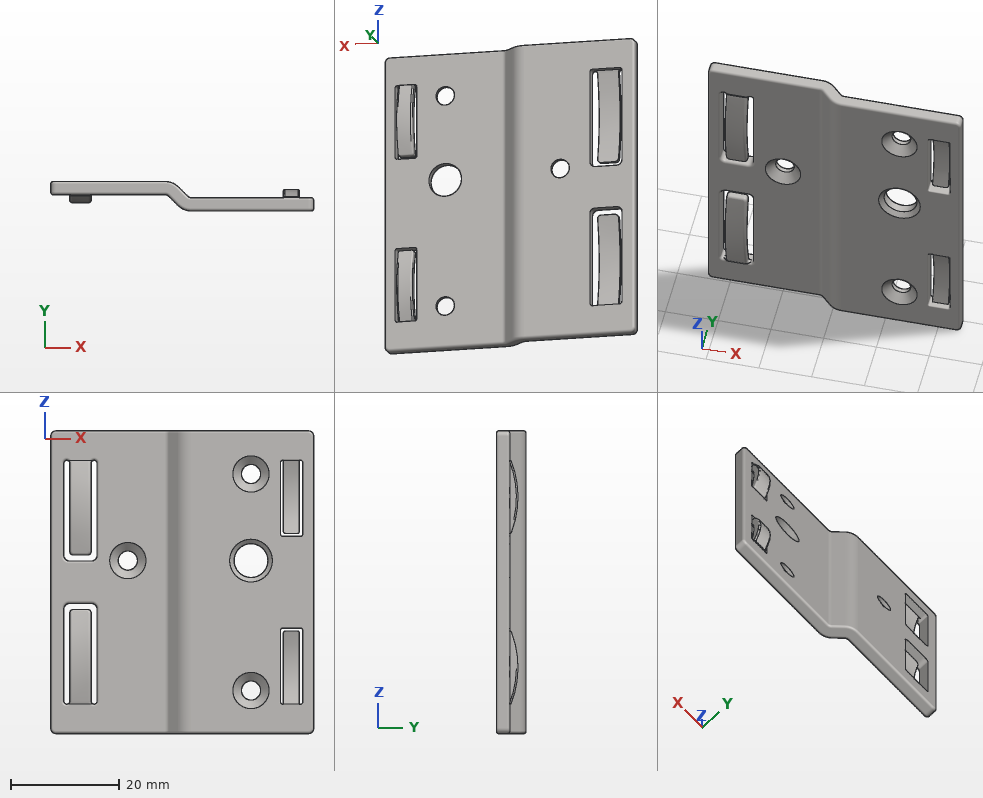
import cadquery as cq
import math

WIDTH = 48.61
HEIGHT = 55.98
THICKNESS = 2.5
STEP = 3.0
BEND_START_X = -3.17
BEND_ANGLE = math.radians(45)
BEND_INNER_R = 1.0
CORNER_R = 1.0
EDGE_R = 0.5
LEFT_FRONT_Y = STEP
RIGHT_FRONT_Y = 0.0

SCREW_D = 3.5
SCREW_HEAD_D = 6.7
LEFT_SCREW = (-10.05, 4.0)
RIGHT_HOLE_X = 12.7
RIGHT_SCREW_Z = 20.0
PIVOT_Z = 4.0
PIVOT_D = 6.2
PIVOT_HEAD_D = 7.9

ROOT_Z = 22.5
ROOT_STEP = 0.2
BULGE = 1.5

LEFT_TONGUE_X = -18.8
LEFT_TONGUE_W = 4.0
LEFT_TONGUE_T = 1.3
LEFT_TIP_Z = 5.0
LEFT_GAP = 1.05
LEFT_TIP_CORNER_R = 0.7
LEFT_WINDOW_R = 1.0
LEFT_EDGE_R = 0.5

RIGHT_TONGUE_X = 20.15
RIGHT_TONGUE_W = 3.0
RIGHT_TONGUE_T = 1.5
RIGHT_TIP_Z = 9.0
RIGHT_GAP = 0.5
RIGHT_WINDOW_X = 20.2
RIGHT_WINDOW_W = 4.1
RIGHT_TONGUE_EDGE_R = 0.3
RIGHT_CORNER_R = 0.4
RIGHT_EDGE_R = 0.2

EDGE_MARGIN = 0.1


def make_plate():
    """Joggled plate with rounded corners and edges."""
    outer_r = BEND_INNER_R + THICKNESS
    sin_a, cos_a = math.sin(BEND_ANGLE), math.cos(BEND_ANGLE)
    sin_h, cos_h = math.sin(BEND_ANGLE / 2), math.cos(BEND_ANGLE / 2)
    bends_drop = (BEND_INNER_R + outer_r) * (1 - cos_a)
    slope_run = (STEP - bends_drop) / math.tan(BEND_ANGLE)
    bend_end_x = BEND_START_X + (BEND_INNER_R + outer_r) * sin_a + slope_run
    left_x, right_x = -WIDTH / 2, WIDTH / 2
    left_back_y = LEFT_FRONT_Y + THICKNESS
    right_back_y = RIGHT_FRONT_Y + THICKNESS
    upper_y = LEFT_FRONT_Y - BEND_INNER_R
    lower_y = right_back_y + BEND_INNER_R

    def left_bend(radius, sin_t, cos_t):
        return (BEND_START_X + radius * sin_t, upper_y + radius * cos_t)

    def right_bend(radius, sin_t, cos_t):
        return (bend_end_x - radius * sin_t, lower_y - radius * cos_t)

    plate = (
        cq.Workplane("XY", origin=(0, 0, -HEIGHT / 2))
        .moveTo(left_x, LEFT_FRONT_Y)
        .lineTo(BEND_START_X, LEFT_FRONT_Y)
        .threePointArc(left_bend(BEND_INNER_R, sin_h, cos_h), left_bend(BEND_INNER_R, sin_a, cos_a))
        .lineTo(*right_bend(outer_r, sin_a, cos_a))
        .threePointArc(right_bend(outer_r, sin_h, cos_h), (bend_end_x, RIGHT_FRONT_Y))
        .lineTo(right_x, RIGHT_FRONT_Y)
        .lineTo(right_x, right_back_y)
        .lineTo(bend_end_x, right_back_y)
        .threePointArc(right_bend(BEND_INNER_R, sin_h, cos_h), right_bend(BEND_INNER_R, sin_a, cos_a))
        .lineTo(*left_bend(outer_r, sin_a, cos_a))
        .threePointArc(left_bend(outer_r, sin_h, cos_h), (BEND_START_X, left_back_y))
        .lineTo(left_x, left_back_y)
        .close()
        .extrude(HEIGHT)
    )
    plate = plate.edges("|Y").fillet(CORNER_R)
    front_left = cq.selectors.NearestToPointSelector((left_x, LEFT_FRONT_Y, 0))
    back_left = cq.selectors.NearestToPointSelector((left_x, left_back_y, 0))
    plate = plate.edges(front_left).fillet(EDGE_R)
    return plate.edges(back_left).fillet(EDGE_R)


def countersunk_hole(x, z, front_y, hole_d, head_d):
    """Through-hole cutter with a 90 degree countersink at the front face."""
    sink_depth = (head_d - hole_d) / 2
    return (
        cq.Workplane("XY", origin=(x, front_y, z))
        .lineTo(head_d / 2, 0)
        .lineTo(hole_d / 2, sink_depth)
        .lineTo(hole_d / 2, THICKNESS)
        .lineTo(0, THICKNESS)
        .close()
        .revolve(360, (0, 0, 0), (0, 1, 0))
    )


def block(x, width, z_low, z_high, y_low, y_high):
    """Box centred on x."""
    size = (width, y_high - y_low, z_high - z_low)
    return cq.Workplane("XY", origin=(x, y_low, z_low)).box(*size, centered=(True, False, False))


def arched_tongue(x, width, thickness, tip_z, face_y, outward):
    """Strip from ROOT_Z to tip_z arching out of the face at face_y; outward is its Y sign."""
    mid_z = (ROOT_Z + tip_z) / 2
    end_y = face_y + outward * ROOT_STEP
    peak_y = face_y + outward * BULGE
    depth = outward * thickness
    return (
        cq.Workplane("YZ", origin=(x, 0, 0))
        .moveTo(end_y, ROOT_Z)
        .threePointArc((peak_y, mid_z), (end_y, tip_z))
        .lineTo(end_y - depth, tip_z)
        .threePointArc((peak_y - depth, mid_z), (end_y - depth, ROOT_Z))
        .close()
        .extrude(width / 2, both=True)
    )


def left_slot():
    """U-shaped cutter around the upper left tongue, tall enough to clear its arch."""
    y_low = LEFT_FRONT_Y - 2 * BULGE
    y_high = LEFT_FRONT_Y + THICKNESS
    end_r = LEFT_GAP / 2
    arm_top = ROOT_Z - end_r
    window_w = LEFT_TONGUE_W + 2 * LEFT_GAP
    slot = block(LEFT_TONGUE_X, window_w, LEFT_TIP_Z - LEFT_GAP, arm_top, y_low, y_high)
    slot = slot.faces("<Z").edges("|Y").fillet(LEFT_WINDOW_R)
    tongue_area = block(LEFT_TONGUE_X, LEFT_TONGUE_W, LEFT_TIP_Z, arm_top, y_low, y_high)
    slot = slot.cut(tongue_area.faces("<Z").edges("|Y").fillet(LEFT_TIP_CORNER_R))
    for side in (-1, 1):
        arm_x = LEFT_TONGUE_X + side * (LEFT_TONGUE_W + LEFT_GAP) / 2
        arm_end = cq.Workplane("XZ", origin=(arm_x, y_high, arm_top)).circle(end_r)
        slot = slot.union(arm_end.extrude(y_high - y_low))
    return slot


def left_tongue():
    """Upper left tongue, arching forward, with its front edges rounded."""
    strip_w = LEFT_TONGUE_W + LEFT_GAP
    strip = arched_tongue(LEFT_TONGUE_X, strip_w, LEFT_TONGUE_T, LEFT_TIP_Z, LEFT_FRONT_Y, -1)
    tongue = strip.cut(left_slot())
    front_edges = [
        edge for edge in tongue.edges().vals()
        if edge.Center().y < LEFT_FRONT_Y + EDGE_MARGIN and edge.Center().z < ROOT_Z - EDGE_MARGIN
    ]
    return tongue.newObject(front_edges).fillet(LEFT_EDGE_R)


def right_window():
    """Rectangular cutter around the upper right tongue."""
    low_z = RIGHT_TIP_Z - RIGHT_GAP
    back_y = RIGHT_FRONT_Y + THICKNESS
    window = block(RIGHT_WINDOW_X, RIGHT_WINDOW_W, low_z, ROOT_Z, RIGHT_FRONT_Y, back_y)
    return window.edges("|Y").fillet(RIGHT_CORNER_R)


def right_tongue():
    """Upper right tongue, arching backward, with its back edges rounded."""
    back_y = RIGHT_FRONT_Y + THICKNESS
    tongue = arched_tongue(RIGHT_TONGUE_X, RIGHT_TONGUE_W, RIGHT_TONGUE_T, RIGHT_TIP_Z, back_y, 1)
    tongue = tongue.faces("<Z").edges("|Y").fillet(RIGHT_CORNER_R)
    back_edges = [
        edge for edge in tongue.edges().vals()
        if edge.Center().y > back_y and edge.Center().z < ROOT_Z - EDGE_MARGIN
    ]
    return tongue.newObject(back_edges).fillet(RIGHT_TONGUE_EDGE_R)


def above_and_below(body):
    """The body and its mirror image in the middle plane Z = 0."""
    return (body, body.mirror("XY"))


def rim_selector(x, half_width, tip_z, front_y):
    """Selects the front edges of the window openings, above and below the middle."""
    boxes = [
        cq.selectors.BoxSelector(
            (x - half_width - EDGE_MARGIN, front_y - EDGE_MARGIN, side * tip_z),
            (x + half_width + EDGE_MARGIN, front_y + EDGE_MARGIN, side * (ROOT_Z + EDGE_MARGIN)),
        )
        for side in (-1, 1)
    ]
    return boxes[0] + boxes[1]


def add_left_tongues(plate):
    """Slots with rounded rims in the left flat, each strip replaced by an arched tongue."""
    for slot in above_and_below(left_slot()):
        plate = plate.cut(slot)
    half_width = LEFT_TONGUE_W / 2 + LEFT_GAP
    low_z = LEFT_TIP_Z - LEFT_GAP - EDGE_MARGIN
    rim = rim_selector(LEFT_TONGUE_X, half_width, low_z, LEFT_FRONT_Y)
    plate = plate.edges(rim).fillet(LEFT_EDGE_R)
    strip_w = LEFT_TONGUE_W + LEFT_GAP
    back_y = LEFT_FRONT_Y + THICKNESS
    flat_strip = block(LEFT_TONGUE_X, strip_w, LEFT_TIP_Z, ROOT_Z, LEFT_FRONT_Y, back_y)
    for strip in above_and_below(flat_strip):
        plate = plate.cut(strip)
    for tongue in above_and_below(left_tongue()):
        plate = plate.union(tongue)
    return plate


def add_right_tongues(plate):
    """Windows with rounded rims in the right flat, each holding an arched tongue."""
    for window in above_and_below(right_window()):
        plate = plate.cut(window)
    half_width = RIGHT_WINDOW_W / 2
    low_z = RIGHT_TIP_Z - RIGHT_GAP - EDGE_MARGIN
    rim = rim_selector(RIGHT_WINDOW_X, half_width, low_z, RIGHT_FRONT_Y)
    plate = plate.edges(rim).fillet(RIGHT_EDGE_R)
    for tongue in above_and_below(right_tongue()):
        plate = plate.union(tongue)
    return plate


def drill_holes(plate):
    """Three countersunk screw holes and the larger pivot hole."""
    for x, z, front_y in (
        (*LEFT_SCREW, LEFT_FRONT_Y),
        (RIGHT_HOLE_X, RIGHT_SCREW_Z, RIGHT_FRONT_Y),
        (RIGHT_HOLE_X, -RIGHT_SCREW_Z, RIGHT_FRONT_Y),
    ):
        plate = plate.cut(countersunk_hole(x, z, front_y, SCREW_D, SCREW_HEAD_D))
    return plate.cut(countersunk_hole(RIGHT_HOLE_X, PIVOT_Z, RIGHT_FRONT_Y, PIVOT_D, PIVOT_HEAD_D))


result = drill_holes(add_right_tongues(add_left_tongues(make_plate())))